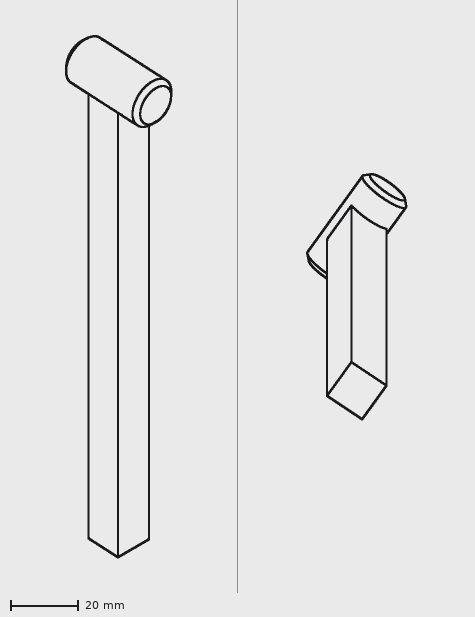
import cadquery as cq

total_height = 180.0
head_length = 32.0
head_diameter = 16.0
head_chamfer = 1.6
bar_width = 12.8

head_axis_height = total_height - head_diameter / 2
head = (
    cq.Workplane("YZ", origin=(-head_length / 2, 0, head_axis_height))
    .circle(head_diameter / 2)
    .extrude(head_length)
    .faces("<X or >X")
    .chamfer(head_chamfer)
)

bar = cq.Workplane("XY").rect(bar_width, bar_width).extrude(head_axis_height)

result = head.union(bar)